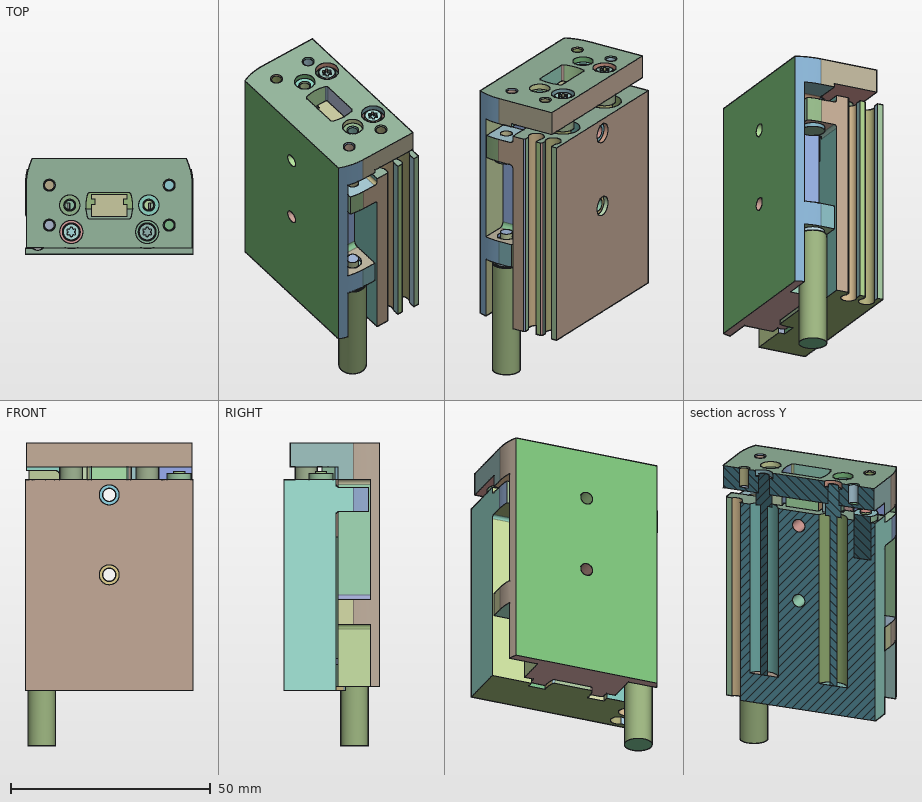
import cadquery as cq
import math


unit_depth = 24.0
unit_top = 62.0
housing_half_width = 21.0
housing_height = 52.8
housing_back = 13.1

slide_half_width = 20.75
slide_bottom = 1.0
slide_front = 13.6
yoke_front = 1.6
yoke_bottom = 56.0
flank_start = 17.4
flank_radius = 15.7
flange_front = 21.7
web_half_width = 12.4
leg_half_width = 9.95
leg_front = 11.5
leg_corner_radius = 0.9
collar_front = 9.5
collar_step_front = 12.8
pad_half_width = 12.0
upper_pad_bottom = 38.4
lower_pad_bottom = 6.5
lower_pad_top = 8.0
pocket_corner_radius = 1.2
ledge_bottom = 16.6
ledge_top = 22.8
left_pocket_top = 55.1
right_pocket_top = housing_height

channel_front = 8.8
channel_back = 15.45
channel_end_half_width = 5.3
channel_middle_half_width = 5.85
channel_corner_radius = 0.6
rail_half_width = 4.5
rail_base = 9.5
rail_back = 15.0
rail_top = 58.0
rail_groove_front = 12.5
rail_groove_back = 13.8
rail_groove_depth = 0.95
cage_top = 52.0

tapped_core_diameter = 2.46
tapped_diameter = 3.0
tapped_depth = 5.0
tapped_x = 15.0
tapped_rows = (7.3, 17.3)
centring_x = 9.9
centring_y = 12.3
centring_diameter = 5.1
centring_depth = 1.4

slot_bore_diameter = 4.0
slot_bore_x = -17.9
lower_slot_y = 3.05
lower_slot_opening = (1.55, 4.6)
upper_slot_y = 8.1
upper_slot_opening = (6.35, 9.5)
upper_lip_chamfer = (0.25, 0.4)
rib_chamfer = 0.4
rib_inset = 0.3
slide_gap = 0.35
leg_floor_gap = 0.1
mounting_heights = (29.0, 49.0)
mounting_diameter = 3.24
mounting_bore_diameter = 5.0
mounting_bore_depth = 1.2
lug_bottom = 44.8
lug_top = 50.9
lug_back = 21.2
lug_fillet = 0.8
lug_hole_depth = 3.0
bumper_diameter = 6.0
bumper_length = 1.0

rod_x = 9.5
rod_y = 5.6
piston_bore_diameter = 8.4
piston_bore_depth = 45.0
rod_diameter = 4.0
rod_collar_diameter = 5.6
rod_head_diameter = 4.5
rod_head_chamfer = 0.25
rod_head_drop = 0.5
head_bore_diameter = 5.8
head_bore_depth = 1.5
socket_core_diameter = 1.75
socket_lobe_diameter = 0.6
socket_diameter = 2.46
socket_depth = 1.0
socket_lobes = 6

absorber_x = -16.9
absorber_y = 17.7
absorber_diameter = 7.0
absorber_bottom = -13.8
absorber_shoulder = 15.6
absorber_shoulder_chamfer = 0.2
absorber_neck_diameter = 5.8
absorber_stem_diameter = 4.46
absorber_tip_diameter = 3.0
absorber_stem_top = ledge_top - 1.0
absorber_tip_top = ledge_top + 1.1

stop_x = 17.5
stop_y = 9.3
stop_diameter = 6.0
stop_top = 54.4
stop_tip_diameter = 2.8
stop_tip_height = 0.5
stop_hole_depth = 10.0


def box(x0, x1, y0, y1, z0, z1):
    """Box between two opposite corners."""
    return cq.Workplane("XY").box(x1 - x0, y1 - y0, z1 - z0, centered=False).translate((x0, y0, z0))


def cylinder(x, y, diameter, z0, z1):
    """Upright cylinder between two heights."""
    return cq.Workplane("XY", origin=(x, y, z0)).circle(diameter / 2).extrude(z1 - z0)


def flank_inset(y, radius):
    """How far a curved flank has moved inwards at a given Y."""
    return radius - math.sqrt(radius ** 2 - (y - flank_start) ** 2)


def flanked_prism(half_width, radius, front, back, z0, z1):
    """Prism with a straight front part and sides that curve inwards towards the back."""
    middle = (flank_start + back) / 2
    middle_x = half_width - flank_inset(middle, radius)
    back_x = half_width - flank_inset(back, radius)
    return (
        cq.Workplane("XY", origin=(0, 0, z0))
        .moveTo(-half_width, front)
        .lineTo(half_width, front)
        .lineTo(half_width, flank_start)
        .threePointArc((middle_x, middle), (back_x, back))
        .lineTo(-back_x, back)
        .threePointArc((-middle_x, middle), (-half_width, flank_start))
        .close()
        .extrude(z1 - z0)
    )


def channel_prism(z0, z1):
    """Barrel-shaped channel along Z that houses the rail."""
    middle = (channel_front + channel_back) / 2
    return (
        cq.Workplane("XY", origin=(0, 0, z0))
        .moveTo(-channel_end_half_width, channel_front)
        .lineTo(channel_end_half_width, channel_front)
        .threePointArc((channel_middle_half_width, middle), (channel_end_half_width, channel_back))
        .lineTo(-channel_end_half_width, channel_back)
        .threePointArc((-channel_middle_half_width, middle), (-channel_end_half_width, channel_front))
        .close()
        .extrude(z1 - z0)
        .edges("|Z")
        .fillet(channel_corner_radius)
    )


def mounting_drill():
    """Counterbored screw holes along Y, long enough to pass through the whole unit."""
    drill = cq.Workplane("XY")
    for height in mounting_heights:
        start = cq.Workplane("XZ", origin=(0, 0, height))
        drill = drill.add(start.circle(mounting_diameter / 2).extrude(-unit_depth))
        drill = drill.add(start.circle(mounting_bore_diameter / 2).extrude(-mounting_bore_depth))
    return drill.combine()


def rail():
    """Grooved guide rail with the ball cage beside it."""
    core = box(-rail_half_width, rail_half_width, rail_base, rail_back, 0, rail_top)
    for side in (-1, 1):
        groove = box(-rail_groove_depth, rail_groove_depth, rail_groove_front, rail_groove_back, 0, rail_top)
        core = core.cut(groove.translate((side * rail_half_width, 0, 0)))
    cage_front = leg_front - leg_floor_gap
    cage_space = box(-leg_half_width, leg_half_width, cage_front, channel_back, 0, cage_top)
    return core.union(channel_prism(0, cage_top).intersect(cage_space))


def sensor_slot(centre_y, opening):
    """Round sensor slot that opens to the -X side through a narrower gap."""
    bore = cylinder(slot_bore_x, centre_y, slot_bore_diameter, 0, housing_height)
    opening_front, opening_back = opening
    gap = box(-housing_half_width, slot_bore_x, opening_front, opening_back, 0, housing_height)
    return bore.union(gap)


def side_recess():
    """Sets back the -X side between the mounting plate and the upper slot, with one rib edge chamfered."""
    rib_face = -housing_half_width + rib_inset
    rib_front = lower_slot_opening[1]
    recess = box(-housing_half_width, rib_face, yoke_front, upper_slot_opening[1], 0, housing_height)
    edge = cq.Workplane("XY").center(rib_face, rib_front)
    edge = edge.polyline([(-rib_chamfer, 0), (0, rib_chamfer), (rib_chamfer, 0), (0, -rib_chamfer)])
    return recess.union(edge.close().extrude(housing_height))


def upper_lip_wedge():
    """Wedge that chamfers the back lip of the upper slot."""
    depth, width = upper_lip_chamfer
    return (
        cq.Workplane("XY")
        .center(-housing_half_width, upper_slot_opening[1])
        .polyline([(0, 0), (depth, 0), (0, width)])
        .close()
        .extrude(housing_height)
    )


def housing_lugs():
    """Stop lugs that reach back into the side pockets of the slide."""
    housing_radius = flank_radius + housing_half_width - slide_half_width
    lugs = flanked_prism(housing_half_width, housing_radius, housing_back, lug_back, lug_bottom, lug_top)
    reach = housing_half_width - web_half_width - slide_gap
    keep = cq.Workplane("XY")
    for side in (-1, 1):
        centre = side * (housing_half_width - reach / 2)
        keep = keep.add(box(centre - reach / 2, centre + reach / 2, 0, unit_depth, 0, housing_height))
    return lugs.intersect(keep.combine())


def lug_root_fillets(body):
    """Round the roots where the lugs leave the back of the housing."""
    root_margin = 0.1
    roots = cq.selectors.BoxSelector(
        (-housing_half_width, housing_back - root_margin, lug_bottom - root_margin),
        (housing_half_width, housing_back + root_margin, lug_top + root_margin),
    )
    return body.edges("|X").edges(roots).fillet(lug_fillet)


def make_housing():
    body = box(-housing_half_width, housing_half_width, 0, housing_back, 0, housing_height)
    body = lug_root_fillets(body.union(housing_lugs()))

    leg_space = leg_half_width + slide_gap
    body = body.cut(box(-leg_space, leg_space, leg_front - leg_floor_gap, unit_depth, 0, housing_height))
    body = body.union(rail())

    body = body.cut(side_recess())
    body = body.cut(upper_lip_wedge())
    body = body.cut(sensor_slot(lower_slot_y, lower_slot_opening))
    body = body.cut(sensor_slot(upper_slot_y, upper_slot_opening))

    for side in (-1, 1):
        bore_floor = housing_height - piston_bore_depth
        body = body.cut(cylinder(side * rod_x, rod_y, piston_bore_diameter, bore_floor, housing_height))
    body = body.cut(cylinder(stop_x, stop_y, stop_diameter, housing_height - stop_hole_depth, housing_height))
    body = body.cut(mounting_drill())

    bumper_bottom = lug_bottom - bumper_length
    body = body.union(cylinder(absorber_x, absorber_y, bumper_diameter, bumper_bottom, lug_bottom))
    return body.cut(cylinder(absorber_x, absorber_y, tapped_diameter, lug_top - lug_hole_depth, lug_top))


def side_pocket(side, z0, z1):
    """Pocket in one flank, open to the side and the front, with rounded inner corners."""
    outer = slide_half_width + pocket_corner_radius
    pocket = box(web_half_width, outer, 0, flange_front, z0, z1)
    pocket = pocket.edges("|Y and <X").fillet(pocket_corner_radius)
    return pocket if side > 0 else pocket.mirror("YZ")


def tapped_hole(x, y, bottom, top):
    """Tapped hole in the yoke plate with a countersunk mouth."""
    hole = cylinder(x, y, tapped_core_diameter, bottom, top)
    core_radius = tapped_core_diameter / 2
    mouth_radius = tapped_diameter / 2
    sink = mouth_radius - core_radius
    mouth = cq.Solid.makeCone(core_radius, mouth_radius, sink, pnt=cq.Vector(x, y, top - sink))
    return hole.union(cq.Workplane(mouth))


def make_slide():
    body = flanked_prism(slide_half_width, flank_radius, slide_front, unit_depth, slide_bottom, unit_top)
    for side in (-1, 1):
        pocket_top = left_pocket_top if side < 0 else right_pocket_top
        body = body.cut(side_pocket(side, ledge_top, pocket_top))
        body = body.cut(side_pocket(side, slide_bottom - pocket_corner_radius, ledge_bottom))

    yoke = box(-slide_half_width, slide_half_width, yoke_front, flank_start, yoke_bottom, unit_top)
    body = body.union(yoke)
    legs = box(-leg_half_width, leg_half_width, leg_front, flank_start, slide_bottom, housing_height)
    body = body.union(legs.edges("|Z and <Y").fillet(leg_corner_radius))
    body = body.union(
        box(-leg_half_width, leg_half_width, collar_front, flank_start, housing_height, yoke_bottom)
    )
    body = body.union(
        box(-web_half_width, web_half_width, collar_step_front, flank_start, housing_height, yoke_bottom)
    )
    for pad_bottom, pad_top in ((lower_pad_bottom, lower_pad_top), (upper_pad_bottom, housing_height)):
        pad = box(-pad_half_width, pad_half_width, housing_back, flank_start, pad_bottom, pad_top)
        body = body.union(pad)
    body = body.cut(channel_prism(slide_bottom, unit_top))

    for side in (-1, 1):
        for row in tapped_rows:
            body = body.cut(tapped_hole(side * tapped_x, row, unit_top - tapped_depth, unit_top))
        centring_floor = unit_top - centring_depth
        body = body.cut(tapped_hole(side * centring_x, centring_y, yoke_bottom, centring_floor))
        body = body.cut(cylinder(side * centring_x, centring_y, centring_diameter, centring_floor, unit_top))
        body = body.cut(cylinder(side * rod_x, rod_y, rod_head_diameter, yoke_bottom, unit_top))
        head_floor = unit_top - head_bore_depth
        body = body.cut(cylinder(side * rod_x, rod_y, head_bore_diameter, head_floor, unit_top))

    body = body.cut(cylinder(absorber_x, absorber_y, absorber_stem_diameter, ledge_bottom, ledge_top))
    return body.cut(mounting_drill())


def star_socket(x, y, top):
    """Six-lobed drive socket."""
    socket = cylinder(x, y, socket_core_diameter, top - socket_depth, top)
    lobe_circle = (socket_diameter - socket_lobe_diameter) / 2
    for index in range(socket_lobes):
        angle = math.pi / 2 + index * 2 * math.pi / socket_lobes
        lobe_x = x + lobe_circle * math.cos(angle)
        lobe_y = y + lobe_circle * math.sin(angle)
        socket = socket.union(cylinder(lobe_x, lobe_y, socket_lobe_diameter, top - socket_depth, top))
    return socket


def make_piston_rod(x):
    head_top = unit_top - rod_head_drop
    rod = cylinder(x, rod_y, rod_diameter, housing_height - piston_bore_depth, housing_height)
    collar = cylinder(x, rod_y, rod_collar_diameter, housing_height, yoke_bottom)
    head = cylinder(x, rod_y, rod_head_diameter, yoke_bottom, head_top)
    head = head.faces(">Z").chamfer(rod_head_chamfer)
    return rod.union(collar).union(head).cut(star_socket(x, rod_y, head_top))


def make_absorber():
    body = cylinder(absorber_x, absorber_y, absorber_diameter, absorber_bottom, absorber_shoulder)
    body = body.faces(">Z").chamfer(absorber_shoulder_chamfer)
    neck = cylinder(absorber_x, absorber_y, absorber_neck_diameter, absorber_shoulder, ledge_bottom)
    stem = cylinder(absorber_x, absorber_y, absorber_stem_diameter, ledge_bottom, absorber_stem_top)
    tip = cylinder(absorber_x, absorber_y, absorber_tip_diameter, absorber_stem_top, absorber_tip_top)
    return body.union(neck).union(stem).union(tip)


def make_end_stop():
    body = cylinder(stop_x, stop_y, stop_diameter, housing_height - stop_hole_depth, stop_top)
    tip = cylinder(stop_x, stop_y, stop_tip_diameter, stop_top, stop_top + stop_tip_height)
    return body.union(tip)


housing = make_housing()
slide = make_slide()
piston_rods = [make_piston_rod(side * rod_x) for side in (-1, 1)]
absorber = make_absorber()
end_stop = make_end_stop()

bodies = [housing, slide, *piston_rods, absorber, end_stop]
result = cq.Compound.makeCompound([body.solids().val() for body in bodies])